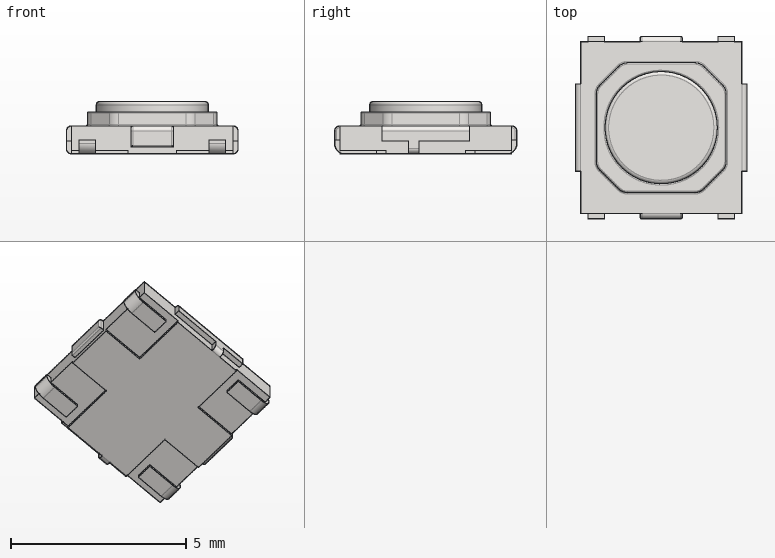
import cadquery as cq
import math


total_x = 4.9
total_y = 5.2
total_z = 1.5

side_overhang = 0.15
housing_x = total_x - 2 * side_overhang
housing_y = total_y - 2 * side_overhang
housing_top = 0.8

edge_round = 0.04

collar_width = 3.7
collar_top = 1.2
collar_corner_cut = 0.745
collar_corner_radius = 0.365

button_diameter = 3.2
button_round = 0.1

clip_width = 1.2
clip_bottom = 0.2
clip_round = 0.05

tab_width = 2.49
tab_bottom = 0.365
arm_width = 0.3
arm_center_y = -0.345

leg_width = 0.48
leg_center_x = 1.85
leg_top = 0.4
leg_bend_radius = 0.3
leg_inner_end_y = 1.405
recess_depth = 0.1
recess_inner_x = 0.695
recess_inner_y = 1.14

embed = 0.105


def arc_middle(center_a, center_b, radius, angle_degrees):
    """Point on a circle at the given angle, used as the middle of an arc."""
    angle = math.radians(angle_degrees)
    return (center_a + radius * math.cos(angle), center_b + radius * math.sin(angle))


def with_mirrored_copy(solid, plane):
    """The solid together with its mirror image across the plane through the origin."""
    return solid.union(solid.mirror(plane))


def make_housing():
    housing = cq.Workplane("XY").box(housing_x, housing_y, housing_top, centered=(True, True, False))
    recess_x = housing_x / 2 - recess_inner_x
    recess_y = housing_y / 2 - recess_inner_y
    recess_centers = [
        (side_x * (recess_inner_x + recess_x / 2), side_y * (recess_inner_y + recess_y / 2))
        for side_x in (-1, 1)
        for side_y in (-1, 1)
    ]
    recesses = cq.Workplane("XY").pushPoints(recess_centers).rect(recess_x, recess_y).extrude(recess_depth)
    return housing.cut(recesses)


def add_collar(body):
    """Octagonal collar, rounded at its top edge and blended into the housing at its foot."""
    collar = (
        cq.Workplane("XY")
        .workplane(offset=housing_top)
        .rect(collar_width, collar_width)
        .extrude(collar_top - housing_top)
        .edges("|Z")
        .chamfer(collar_corner_cut)
        .edges("|Z")
        .fillet(collar_corner_radius)
    )
    collar_reach = collar_width / 2 + edge_round
    foot_selector = cq.selectors.BoxSelector(
        (-collar_reach, -collar_reach, housing_top - edge_round / 2),
        (collar_reach, collar_reach, housing_top + edge_round / 2),
    )
    body = body.union(collar).faces(">Z").edges().fillet(edge_round)
    return body.edges(foot_selector).fillet(edge_round)


def make_button_opening():
    """Opening in the collar with a rounded rim, which is widest at the top of the collar."""
    radius = button_diameter / 2
    rim_center_x = radius + edge_round
    rim_center_z = collar_top - edge_round
    return (
        cq.Workplane("XZ")
        .moveTo(0, rim_center_z)
        .lineTo(radius, rim_center_z)
        .threePointArc(arc_middle(rim_center_x, rim_center_z, edge_round, 135), (rim_center_x, collar_top))
        .lineTo(0, collar_top)
        .close()
        .revolve(360, (0, 0), (0, 1))
    )


def make_button():
    button_bottom = collar_top - edge_round
    return (
        cq.Workplane("XY")
        .workplane(offset=button_bottom)
        .circle(button_diameter / 2)
        .extrude(total_z - button_bottom)
        .faces(">Z")
        .edges()
        .fillet(button_round)
    )


def make_front_clip():
    """Clip on the -Y wall: large round at the top, small rounds along the outer edges."""
    wall = -housing_y / 2
    depth = side_overhang + embed
    clip = (
        cq.Workplane("XY")
        .box(clip_width, depth, housing_top - clip_bottom, centered=(True, False, False))
        .translate((0, wall - side_overhang, clip_bottom))
    )
    clip = clip.edges("<Y and >Z").fillet(side_overhang)
    return clip.faces("<Y").edges("|Z or <Z").fillet(clip_round)


def make_left_tab():
    """Tab on the -X wall, rounded at its top, and the arm that curls under at its foot."""
    wall = -housing_x / 2
    depth = side_overhang + embed
    outer = wall - side_overhang
    tab = (
        cq.Workplane("XY")
        .box(depth, tab_width, housing_top - tab_bottom, centered=(False, True, False))
        .translate((outer, 0, tab_bottom))
        .edges("<X and >Z")
        .fillet(side_overhang)
    )
    arm = (
        cq.Workplane("XY")
        .box(depth, arm_width, tab_bottom, centered=(False, True, False))
        .translate((outer, arm_center_y, 0))
        .edges("<X and <Z")
        .fillet(side_overhang)
    )
    return tab.union(arm)


def make_front_left_leg():
    """Solder leg: a block outside the -Y wall, bent under the housing into a flat foot."""
    outer = -total_y / 2
    wall = -housing_y / 2
    bend_y = outer + leg_bend_radius
    return (
        cq.Workplane("YZ")
        .workplane(offset=-leg_center_x - leg_width / 2)
        .moveTo(wall, leg_top)
        .lineTo(outer, leg_top)
        .lineTo(outer, leg_bend_radius)
        .threePointArc(arc_middle(bend_y, leg_bend_radius, leg_bend_radius, 225), (bend_y, 0))
        .lineTo(-leg_inner_end_y, 0)
        .lineTo(-leg_inner_end_y, recess_depth)
        .lineTo(wall, recess_depth)
        .close()
        .extrude(leg_width)
    )


front_legs = with_mirrored_copy(make_front_left_leg(), "YZ")

result = add_collar(make_housing())
result = result.cut(make_button_opening()).union(make_button())
result = result.union(with_mirrored_copy(make_front_clip(), "XZ"))
result = result.union(with_mirrored_copy(make_left_tab(), "YZ"))
result = result.union(with_mirrored_copy(front_legs, "XZ"))